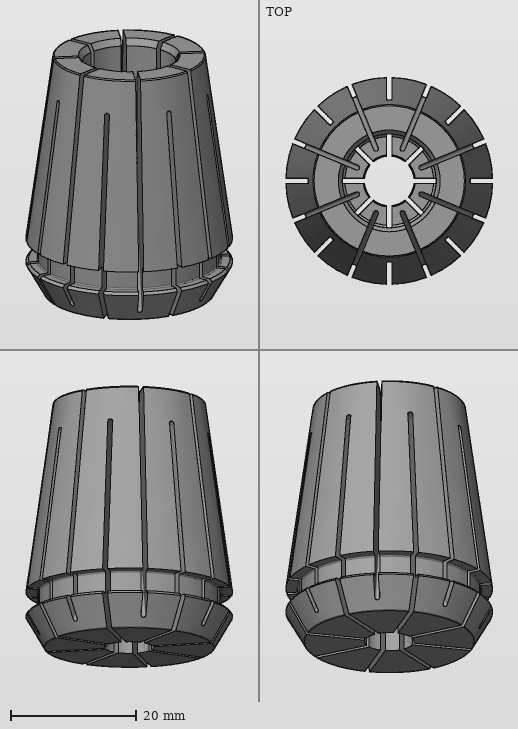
import cadquery as cq
import math

height = 40.0
max_radius = 16.5

nose_angle = 30.0
nose_chamfer = 0.1
flange_edge_z = 5.1
flange_chamfer = 0.45

groove_bottom_z = flange_edge_z + flange_chamfer
groove_top_z = 9.1
groove_radius = 14.6
groove_fillet = 0.2

taper_angle = 8.0
rim_chamfer = 0.2

clamp_radius = 3.95
clamp_chamfer = 0.2
shelf_z = 24.0
clearance_radius = 7.5
shelf_corner_chamfer = 0.4
mouth_radius = 8.1
mouth_angle = 30.0

slot_count = 8
slot_pitch = 360.0 / slot_count
slot_width = 0.8
nose_slot_end_z = 34.5
rim_slot_end_z = 1.5
rim_slot_inner_radius = 5.15
overrun = 2.0


def nose_cone_radius(z):
    """Outer radius of the nose cone at height z."""
    return max_radius - (flange_edge_z - z) * math.tan(math.radians(nose_angle))


def collet_body():
    """Revolve half of the cross-section, bore included."""
    nose_edge_radius = nose_cone_radius(nose_chamfer)
    taper_slope = math.tan(math.radians(taper_angle))
    rim_start_z = height - rim_chamfer
    rim_start_radius = max_radius - (rim_start_z - groove_top_z) * taper_slope
    mouth_depth = (mouth_radius - clearance_radius) / math.tan(math.radians(mouth_angle))
    return (
        cq.Workplane("XZ")
        .moveTo(clamp_radius, 0)
        .lineTo(nose_edge_radius - nose_chamfer, 0)
        .lineTo(nose_edge_radius, nose_chamfer)
        .lineTo(max_radius, flange_edge_z)
        .lineTo(max_radius - flange_chamfer, groove_bottom_z)
        .lineTo(groove_radius + groove_fillet, groove_bottom_z)
        .radiusArc((groove_radius, groove_bottom_z + groove_fillet), groove_fillet)
        .lineTo(groove_radius, groove_top_z - groove_fillet)
        .radiusArc((groove_radius + groove_fillet, groove_top_z), groove_fillet)
        .lineTo(max_radius, groove_top_z)
        .lineTo(rim_start_radius, rim_start_z)
        .lineTo(rim_start_radius - rim_chamfer, height)
        .lineTo(mouth_radius, height)
        .lineTo(clearance_radius, height - mouth_depth)
        .lineTo(clearance_radius, shelf_z + shelf_corner_chamfer)
        .lineTo(clearance_radius - shelf_corner_chamfer, shelf_z)
        .lineTo(clamp_radius + clamp_chamfer, shelf_z)
        .lineTo(clamp_radius, shelf_z - clamp_chamfer)
        .close()
        .revolve(360, (0, 0, 0), (0, 1, 0))
    )


def nose_slot_cutter():
    """Radial slot along +X, open at the nose and ending in a half-round below the rim."""
    half_width = slot_width / 2
    arc_center_z = nose_slot_end_z - half_width
    return (
        cq.Workplane("YZ")
        .moveTo(-half_width, -overrun)
        .lineTo(-half_width, arc_center_z)
        .threePointArc((0, nose_slot_end_z), (half_width, arc_center_z))
        .lineTo(half_width, -overrun)
        .close()
        .extrude(max_radius + overrun)
    )


def rim_slot_cutter():
    """Radial slot along +X, open at the rim, with a half-round floor sloping down outward.

    The bottom of the floor runs from the bore shelf to the surface of the nose cone.
    """
    half_width = slot_width / 2
    floor_run = nose_cone_radius(rim_slot_end_z) - rim_slot_inner_radius
    floor_angle = math.atan2(shelf_z - rim_slot_end_z, floor_run)
    slope = math.tan(floor_angle)

    inner_radius = clamp_radius
    outer_radius = max_radius + overrun
    axis_rise = half_width / math.cos(floor_angle)
    axis_inner_z = shelf_z + (rim_slot_inner_radius - inner_radius) * slope + axis_rise
    axis_outer_z = axis_inner_z - (outer_radius - inner_radius) * slope
    axis_length = (outer_radius - inner_radius) / math.cos(floor_angle)

    top_z = height + overrun
    walls = (
        cq.Workplane("XZ")
        .moveTo(inner_radius, axis_inner_z)
        .lineTo(outer_radius, axis_outer_z)
        .lineTo(outer_radius, top_z)
        .lineTo(inner_radius, top_z)
        .close()
        .extrude(half_width, both=True)
    )
    floor = cq.Solid.makeCylinder(
        half_width,
        axis_length,
        cq.Vector(inner_radius, 0, axis_inner_z),
        cq.Vector(math.cos(floor_angle), 0, -math.sin(floor_angle)),
    )
    return walls.union(cq.Workplane(floor))


nose_slot = nose_slot_cutter()
rim_slot = rim_slot_cutter()

result = collet_body()
for index in range(slot_count):
    angle = index * slot_pitch
    result = result.cut(nose_slot.rotate((0, 0, 0), (0, 0, 1), angle))
    result = result.cut(rim_slot.rotate((0, 0, 0), (0, 0, 1), angle + slot_pitch / 2))